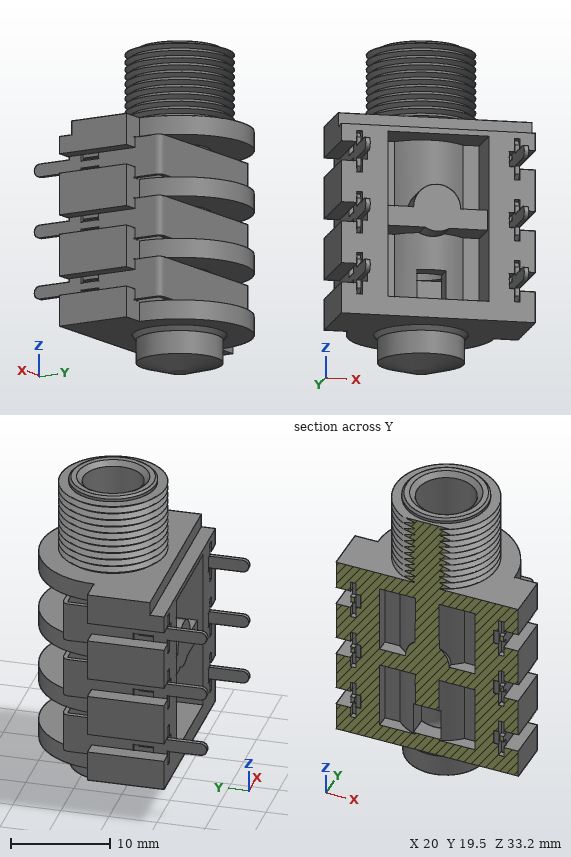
import cadquery as cq
import math


body_width = 20.0
body_front = -7.97
body_top = 20.98
disc_radius = 7.5
disc_thickness = 1.95
disc_count = 4
disc_pitch = (body_top - disc_thickness) / (disc_count - 1)
step_depth = 1.45
step_height = 1.43

pocket_width = 10.4
pocket_half_width = pocket_width / 2
pocket_bottom = disc_thickness
pocket_top = 19.0
pocket_back = -3.52
bulge_radius = 4.98
window_width = 3.02
window_bottom = 2.12
window_top = 5.65

bar_front = -7.37
bar_bottom = 9.43
bar_top = 11.5
knob_radius = 2.42

thread_radius = 5.5
thread_root_radius = 4.98
thread_top = 28.85
thread_lowest_crest = 21.38
thread_count = 11
thread_pitch = (thread_top - thread_lowest_crest) / (thread_count - 1)
lip_radius = 4.48
lip_chamfer = 0.23
neck_top = 29.38

bore_radius = 3.12
bore_mouth_radius = 3.7
bore_mouth_depth = 0.45
well_radius = 2.95
well_floor = -2.85
well_flat_radius = 1.53

collar_radius = 4.78
collar_height = 0.5
boss_radius = 4.38
boss_bottom = -2.85
tip_radius = 1.05
overall_height = 33.2
tip_bottom = neck_top - overall_height

lowest_contact = 4.18
highest_contact = 16.75
contact_levels = (lowest_contact, (lowest_contact + highest_contact) / 2, highest_contact)
contact_width = 4.12
strip_thickness = 0.45
leg_outer_x = 8.4
contact_back = 3.1
bend_radius = 0.65
shoulder_front = -7.85
shoulder_chamfer = 0.55
pin_width = 1.33
overall_depth = 19.5
pin_tip = disc_radius - overall_depth
web_width = 0.73
cutout_back = -4.3
cutout_front = -6.45

notch_height = 2.0
slot_height = 4.25
slot_width = 0.55
key_width = 0.53
key_height = 1.55
key_back = -4.78

OVERLAP = 0.33


def box(x_range, y_range, z_range):
    """Box between two limits on each axis."""
    size = [high - low for low, high in (x_range, y_range, z_range)]
    corner = (x_range[0], y_range[0], z_range[0])
    return cq.Workplane("XY").box(*size, centered=False).translate(corner)


def disc(radius, bottom, top):
    """Cylinder on the bore axis."""
    return cq.Workplane("XY").workplane(offset=bottom).circle(radius).extrude(top - bottom)


def turned(points):
    """Solid of revolution about Z from (radius, height) points."""
    return cq.Workplane("XZ").polyline(points).close().revolve(360, (0, 0), (0, 1))


def both_sides(shape):
    """The shape together with its mirror image across X = 0."""
    return shape.union(shape.mirror("YZ"))


def housing():
    half_width = body_width / 2
    body = box((-half_width, half_width), (body_front, 0), (0, body_top))
    for index in range(disc_count):
        bottom = index * disc_pitch
        body = body.union(disc(disc_radius, bottom, bottom + disc_thickness))
    step = box(
        (-half_width, half_width),
        (body_front, body_front + step_depth),
        (body_top - step_height, body_top),
    )
    return body.cut(step)


def pocket():
    limits = (-pocket_half_width, pocket_half_width)
    hollow = box(limits, (body_front - OVERLAP, pocket_back), (pocket_bottom, pocket_top))
    return hollow.cut(disc(bulge_radius, pocket_bottom, pocket_top))


def window():
    limits = (-window_width / 2, window_width / 2)
    return box(limits, (-bulge_radius - OVERLAP, 0), (window_bottom, window_top))


def cross_bar():
    reach = pocket_half_width + OVERLAP
    depth = (bar_front, pocket_back + OVERLAP)
    bar = box((-reach, reach), depth, (bar_bottom, bar_top))
    knob = (
        cq.Workplane("XZ", origin=(0, bar_front, bar_top))
        .circle(knob_radius)
        .extrude(bar_front - depth[1])
    )
    return bar.union(knob)


def threaded_neck():
    """Neck with ring-shaped thread ridges; the top ridge is cut off flat at its crest."""
    points = [
        (0, neck_top),
        (lip_radius - lip_chamfer, neck_top),
        (lip_radius, neck_top - lip_chamfer),
        (lip_radius, thread_top),
    ]
    for index in range(thread_count):
        crest = thread_top - index * thread_pitch
        points.append((thread_radius, crest))
        points.append((thread_root_radius, crest - thread_pitch / 2))
    points.append((thread_root_radius, body_top - OVERLAP))
    points.append((0, body_top - OVERLAP))
    return turned(points)


def boss():
    return turned([
        (0, OVERLAP),
        (collar_radius, OVERLAP),
        (collar_radius, 0),
        (boss_radius, -collar_height),
        (boss_radius, boss_bottom),
        (tip_radius, tip_bottom),
        (0, tip_bottom),
    ])


def bore():
    """Plug bore with a flared mouth, ending in a round-bottomed well."""
    bottom_rounding = well_radius - well_flat_radius
    arc_middle = (
        well_flat_radius + bottom_rounding * math.sin(math.pi / 4),
        well_floor + bottom_rounding * (1 - math.cos(math.pi / 4)),
    )
    return (
        cq.Workplane("XZ")
        .moveTo(0, neck_top)
        .lineTo(bore_mouth_radius, neck_top)
        .lineTo(bore_radius, neck_top - bore_mouth_depth)
        .lineTo(bore_radius, disc_thickness)
        .lineTo(well_radius, disc_thickness)
        .lineTo(well_radius, well_floor + bottom_rounding)
        .threePointArc(arc_middle, (well_flat_radius, well_floor))
        .lineTo(0, well_floor)
        .close()
        .revolve(360, (0, 0), (0, 1))
    )


def contact_opening(level):
    """Side notch, slot for the leg and key recess next to the slot."""
    slot_inner_x = leg_outer_x - slot_width
    front = body_front - OVERLAP

    def opening(x_range, back, height):
        return box(x_range, (front, back), (level - height / 2, level + height / 2))

    notch = opening((leg_outer_x, body_width / 2 + OVERLAP), OVERLAP, notch_height)
    slot = opening((slot_inner_x, leg_outer_x), OVERLAP, slot_height)
    key = opening((slot_inner_x - key_width, slot_inner_x), key_back, key_height)
    return both_sides(notch.union(slot).union(key))


def leg_outline(level):
    """Flat shape of a leg in the YZ plane, from the bend to the round pin tip."""
    half = contact_width / 2
    shoulder = half - shoulder_chamfer
    pin = pin_width / 2
    return (
        cq.Workplane("YZ", origin=(0, 0, level))
        .moveTo(contact_back, half)
        .lineTo(shoulder_front + shoulder_chamfer, half)
        .lineTo(shoulder_front, shoulder)
        .lineTo(shoulder_front, pin)
        .lineTo(pin_tip + pin, pin)
        .threePointArc((pin_tip, 0), (pin_tip + pin, -pin))
        .lineTo(shoulder_front, -pin)
        .lineTo(shoulder_front, -shoulder)
        .lineTo(shoulder_front + shoulder_chamfer, -half)
        .lineTo(contact_back, -half)
        .close()
        .extrude(leg_outer_x, both=True)
    )


def contact(level):
    """U-shaped strip bent around the back of the bore."""
    half = contact_width / 2
    strip = (
        box((-leg_outer_x, leg_outer_x), (pin_tip, contact_back), (level - half, level + half))
        .edges("|Z and >Y")
        .fillet(bend_radius)
    )
    inner_x = leg_outer_x - strip_thickness
    inside = (
        box(
            (-inner_x, inner_x),
            (pin_tip - OVERLAP, contact_back - strip_thickness),
            (level - half, level + half),
        )
        .edges("|Z and >Y")
        .fillet(bend_radius - strip_thickness)
    )
    strip = strip.cut(inside).intersect(leg_outline(level))

    reach = leg_outer_x + OVERLAP
    for inner, outer in ((web_width / 2, half), (-half, -web_width / 2)):
        cutout = box((-reach, reach), (cutout_front, cutout_back), (level + inner, level + outer))
        strip = strip.cut(cutout)
    return strip


result = housing().cut(pocket()).union(cross_bar())
result = result.union(threaded_neck()).union(boss())
result = result.cut(bore()).cut(window())
for contact_level in contact_levels:
    result = result.cut(contact_opening(contact_level))
for contact_level in contact_levels:
    result = result.union(contact(contact_level))